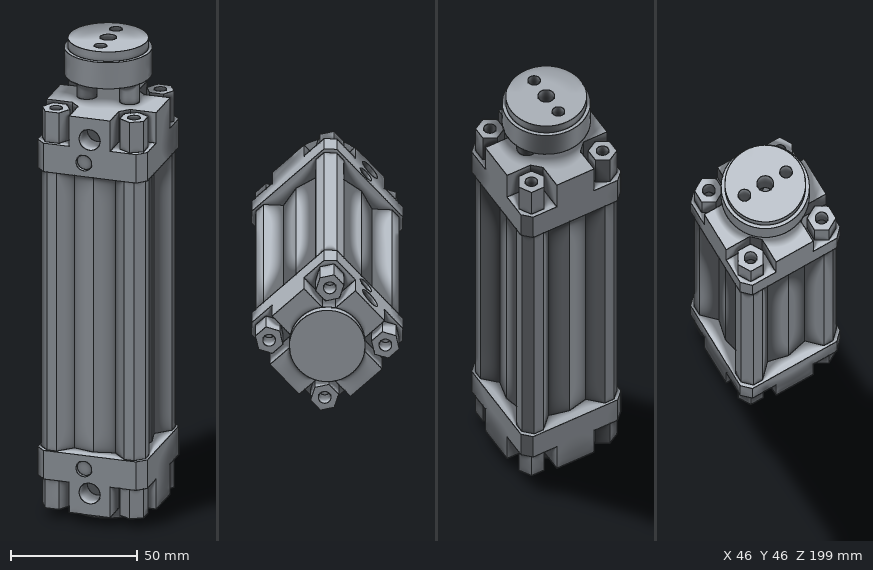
import cadquery as cq
import math


total_height = 199.0
spigot_height = 4.0
spigot_diameter = 30.0
housing_top = 173.0

cover_width = 46.0
cover_height = 25.0
corner_chamfer = 3.5
pocket_depth = 13.0
block_half_width = 8.5

nut_offset = 16.3
nut_across_flats = 10.0
nut_across_corners = nut_across_flats / math.cos(math.pi / 6)
nut_turn = 30.0
nut_hole_diameter = 5.0
nut_hole_depth = 10.0
drill_point_angle = 118.0

port_diameter = 8.8
port_depth = 10.0
port_end_distance = 9.2
screw_diameter = 6.5
screw_recess_depth = 1.5
screw_end_distance = 19.3
screw_offset_x = -2.4

tube_half_width = 21.9
groove_mouth_half_width = 14.1
groove_floor_half_width = block_half_width
groove_depth = groove_mouth_half_width - groove_floor_half_width
groove_ridge = 18.3

plate_diameter = 35.0
plate_rim_diameter = 32.0
plate_rim_height = 4.0
plate_bottom = 183.9
rod_diameter = 8.0
rod_offset_x = 9.0
plate_center_hole_diameter = 6.5
plate_side_hole_diameter = 5.0
plate_side_hole_offset_y = 9.5

cover_half_width = cover_width / 2
nut_floor = housing_top - pocket_depth
top_cover_bottom = housing_top - cover_height
housing_mid_height = (spigot_height + housing_top) / 2
tube_length = housing_top - spigot_height - 2 * cover_height
tube_bottom = top_cover_bottom - tube_length
corners = [(1, 1), (-1, 1), (-1, -1), (1, -1)]


def corner_pocket(x_sign, y_sign):
    """Square cutter for one corner pocket, chamfered at its inner corner."""
    size = cover_half_width - block_half_width
    center = block_half_width + size / 2
    inner_edge_x = ("<" if x_sign > 0 else ">") + "X"
    inner_edge_y = ("<" if y_sign > 0 else ">") + "Y"
    return (
        cq.Workplane("XY", origin=(x_sign * center, y_sign * center, nut_floor))
        .rect(size, size)
        .extrude(pocket_depth)
        .edges("|Z")
        .edges(inner_edge_x)
        .edges(inner_edge_y)
        .chamfer(corner_chamfer)
    )


def tie_rod_nut(x_sign, y_sign):
    """Hexagonal nut with a blind drilled hole in its top face."""
    center = (x_sign * nut_offset, y_sign * nut_offset)
    turn = 0 if x_sign == y_sign else nut_turn
    nut = (
        cq.Workplane("XY", origin=(*center, nut_floor))
        .transformed(rotate=(0, 0, turn))
        .polygon(6, nut_across_corners)
        .extrude(pocket_depth)
    )
    radius = nut_hole_diameter / 2
    point_height = radius / math.tan(math.radians(drill_point_angle / 2))
    hole = (
        cq.Workplane("XZ", origin=(*center, housing_top))
        .polyline([
            (0, 0),
            (radius, 0),
            (radius, -nut_hole_depth),
            (0, -nut_hole_depth - point_height),
        ])
        .close()
        .revolve(360, (0, 0), (0, 1))
    )
    return nut.cut(hole)


def side_hole(x, z, diameter, depth):
    """Cutter for a round hole going in from the -Y side."""
    return cq.Workplane("XZ", origin=(x, -cover_half_width, z)).circle(diameter / 2).extrude(-depth)


def make_top_cover():
    cover = (
        cq.Workplane("XY", origin=(0, 0, top_cover_bottom))
        .rect(cover_width, cover_width)
        .extrude(cover_height)
        .edges("|Z")
        .chamfer(corner_chamfer)
    )
    for x_sign, y_sign in corners:
        cover = cover.cut(corner_pocket(x_sign, y_sign))
        cover = cover.union(tie_rod_nut(x_sign, y_sign))
    port = side_hole(0, housing_top - port_end_distance, port_diameter, port_depth)
    screw_recess = side_hole(
        screw_offset_x, housing_top - screw_end_distance, screw_diameter, screw_recess_depth
    )
    return cover.cut(port).cut(screw_recess)


def groove_cutter():
    """Cutter for the wide groove along the -Y side of the tube; its floor rises to a middle ridge."""
    outer = -tube_half_width
    floor = -tube_half_width + groove_depth
    return (
        cq.Workplane("XY", origin=(0, 0, tube_bottom))
        .polyline([
            (-groove_mouth_half_width, outer),
            (-groove_floor_half_width, floor),
            (0, -groove_ridge),
            (groove_floor_half_width, floor),
            (groove_mouth_half_width, outer),
        ])
        .close()
        .extrude(tube_length)
    )


def make_tube():
    tube = (
        cq.Workplane("XY", origin=(0, 0, tube_bottom))
        .rect(2 * tube_half_width, 2 * tube_half_width)
        .extrude(tube_length)
        .edges("|Z")
        .chamfer(corner_chamfer)
    )
    for side in range(4):
        tube = tube.cut(groove_cutter().rotate((0, 0, 0), (0, 0, 1), 90 * side))
    return tube


def make_housing():
    """Tube closed by two mirrored covers, with the spigot underneath."""
    top_cover = make_top_cover()
    bottom_cover = top_cover.mirror("XY", (0, 0, housing_mid_height))
    spigot = cq.Workplane("XY").circle(spigot_diameter / 2).extrude(spigot_height)
    return make_tube().union(top_cover).union(bottom_cover).union(spigot)


def make_piston():
    """Two rods standing on the top cover and carrying the stepped, drilled front plate."""
    plate = (
        cq.Workplane("XY", origin=(0, 0, plate_bottom))
        .circle(plate_diameter / 2)
        .extrude(total_height - plate_rim_height - plate_bottom)
        .faces(">Z")
        .workplane()
        .circle(plate_rim_diameter / 2)
        .extrude(plate_rim_height)
    )
    plate = plate.faces(">Z").workplane().hole(plate_center_hole_diameter)
    plate = (
        plate.faces(">Z")
        .workplane()
        .pushPoints([(0, -plate_side_hole_offset_y), (0, plate_side_hole_offset_y)])
        .hole(plate_side_hole_diameter)
    )
    rods = (
        cq.Workplane("XY", origin=(0, 0, housing_top))
        .pushPoints([(-rod_offset_x, 0), (rod_offset_x, 0)])
        .circle(rod_diameter / 2)
        .extrude(plate_bottom - housing_top)
    )
    return plate.union(rods)


housing = make_housing()
piston = make_piston()

result = cq.Compound.makeCompound([housing.solids().val(), piston.solids().val()])